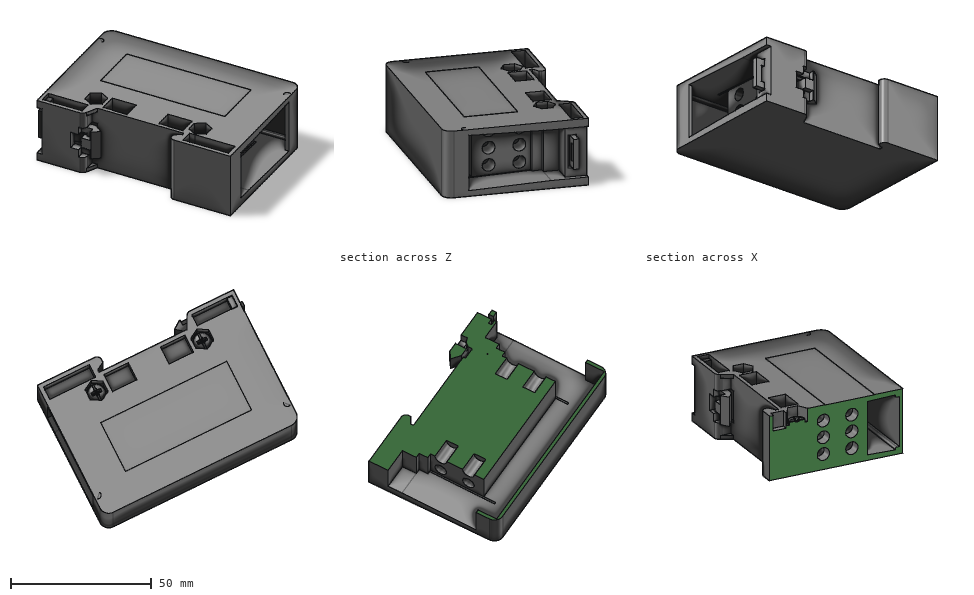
import cadquery as cq
import math


length = 78.0
height = 53.4
thickness = 25.2
mid_x = length / 2
mid_z = thickness / 2
corner_radius = 3.5
overcut = 1.0
diagonal = math.sqrt(0.5)

rail_floor_y = 5.6
left_foot_end_x = 19.3
left_foot_radius = 2.0
web_top_x = 21.4
web_low_y = 1.4
web_thickness = 1.5
hook_root_x = 56.2
hook_root_y = 4.5
hook_tip_x = 53.35
hook_tip_y = 2.9
hook_radius = 1.95

cavity_floor = 2.2
cavity_rim_floor = 3.05
taper_start_y = 13.8
opening_top_y = 44.3
block_top_y = 39.4
block_bottom_y = 17.4
inner_step_y = 8.05
block_face_x = 13.9
mid_lane_depth = 12.0
low_lane_depth = 10.0
recess_depth = 2.0
floor_groove_width = 0.7
floor_groove_depth = 0.1
frame_depth = 1.5
upper_wall_y = 52.0
ledge_width = 1.7
ledge_height = 0.8
ledge_radius = 0.7

terminal_diameter = 4.7
terminal_depth = 8.0
terminal_rows_y = (21.6, 33.0)
terminal_pitch_z = 6.5

label_size = (50.1, 19.8)
label_center = (38.85, 32.15)
label_depth = 0.1
window_size = (9.7, 6.9)
window_center_y = 10.55
window_inner_edge = 6.4
window_depth = 5.3
left_pocket_x = (1.4, 17.4)
left_pocket_y = (1.55, 6.0)
left_shelf_end_x = 3.4
left_shelf_depth = 1.5
right_pocket_x = (58.1, 76.35)
right_pocket_y = (1.55, 6.6)
pocket_depth = 6.0
dimple_offset_x = 1.3
dimple_y = 45.4
dimple_radius = 1.3
dimple_tilt = math.radians(1.2)
dimple_floor_shift = 0.35

screw_spacing = 42.0
screw_y = 11.1
hex_flats = 7.05
hex_depth = 5.1
head_radius = 3.2
dome_radius = 2.65
head_rim_height = 1.2
head_cone_height = 1.6
head_height = 2.1
dome_bulge = 0.75
slot_width = 0.7
slot_depth = 1.0
cross_length = 4.0
cross_width = 1.4
cross_arm_length = 2.4
cross_arm_width = 1.2
cross_depth = 1.4
cross_taper = 20

clip_width = 11.3
clip_slot_width = 12.4
clip_y = (3.9, 5.9)
clip_slot_top_y = 6.95
clip_slot_end_x = 4.0
tab_reach = 1.5
tab_notch_x = 0.8
driver_width = 6.4
rib_width = 4.1
mouth_x = 16.8
clip_bottom_y = 0.15
mouth_top_y = 6.5
latch_back_x = 21.3
latch_top_y = 4.85
latch_tip = (24.6, 2.25)
latch_low_x = 21.7
wing_floor_y = 2.2
driver_x = 13.6
driver_end_x = 19.0
driver_depth = 3.0
hollow_start_y = 2.6
hollow_bulge = 0.4
hollow_edge_y = 4.2
hollow_bottom_y = 4.52
rib_foot_x = 16.3
rib_side_x = 17.7


def box(x_range, y_range, z_range):
    """Axis-aligned block between the given limits."""
    size = [limits[1] - limits[0] for limits in (x_range, y_range, z_range)]
    corner = (x_range[0], y_range[0], z_range[0])
    return cq.Workplane("XY").box(*size, centered=False).translate(corner)


def centered_z(width):
    """Z limits of a feature of the given width, centred in the thickness."""
    return (mid_z - width / 2, mid_z + width / 2)


def mirror_x(shape):
    """Copy on the opposite side of the housing's middle plane across X."""
    return shape.mirror("YZ", (mid_x, 0, 0))


def mirror_z(shape):
    """Copy on the opposite side of the housing's middle plane across Z."""
    return shape.mirror("XY", (0, 0, mid_z))


def make_housing():
    foot_center_x = left_foot_end_x - left_foot_radius
    hook_center_x = hook_tip_x + hook_radius
    body = (
        cq.Workplane("XY")
        .lineTo(foot_center_x, 0)
        .threePointArc(
            (foot_center_x + left_foot_radius * diagonal, left_foot_radius * (1 - diagonal)),
            (left_foot_end_x, left_foot_radius),
        )
        .lineTo(left_foot_end_x, rail_floor_y)
        .lineTo(hook_root_x, rail_floor_y)
        .lineTo(hook_root_x, hook_root_y)
        .lineTo(hook_tip_x, hook_tip_y)
        .lineTo(hook_tip_x, hook_radius)
        .threePointArc(
            (hook_center_x - hook_radius * diagonal, hook_radius * (1 - diagonal)),
            (hook_center_x, 0),
        )
        .lineTo(length, 0)
        .lineTo(length, height)
        .lineTo(0, height)
        .close()
        .extrude(thickness)
    )
    body = body.edges("|Z and >Y").fillet(corner_radius)
    web = (
        cq.Workplane("XY")
        .moveTo(left_foot_end_x - overcut, rail_floor_y)
        .lineTo(web_top_x, rail_floor_y)
        .lineTo(left_foot_end_x, web_low_y)
        .lineTo(left_foot_end_x - overcut, web_low_y)
        .close()
        .extrude(web_thickness)
    )
    return body.union(web).union(mirror_z(web))


def lane(x_range, y_range, extra_depth=0.0):
    """Slice of the cavity: its floor and ceiling flare apart from the rail side upwards."""
    low = cavity_floor - extra_depth
    rim = cavity_rim_floor - extra_depth
    slope = (rim - low) / (opening_top_y - taper_start_y)
    top = low - slope * (upper_wall_y - opening_top_y)
    flare = (
        cq.Workplane("YZ")
        .moveTo(-overcut, rim)
        .lineTo(taper_start_y, rim)
        .lineTo(upper_wall_y, top)
        .lineTo(upper_wall_y, thickness - top)
        .lineTo(taper_start_y, thickness - rim)
        .lineTo(-overcut, thickness - rim)
        .close()
        .extrude(x_range[1] - x_range[0])
        .translate((x_range[0], 0, 0))
    )
    return flare.intersect(box(x_range, y_range, (0, thickness)))


def make_end_cavity():
    outside = -overcut
    groove_x = (block_face_x - floor_groove_width, block_face_x)
    return (
        lane((outside, block_face_x), (block_bottom_y, opening_top_y))
        .union(lane((outside, mid_lane_depth), (taper_start_y, block_bottom_y)))
        .union(lane((outside, low_lane_depth), (inner_step_y, taper_start_y)))
        .union(lane(groove_x, (block_bottom_y, opening_top_y), floor_groove_depth))
    )


def make_upper_cavity():
    """Long cavity above the opening, with a rounded ledge along its floor and ceiling."""
    x_range = (frame_depth, length - frame_depth)
    room = lane(x_range, (opening_top_y, upper_wall_y))
    ledge = box(
        x_range,
        (upper_wall_y - ledge_width, upper_wall_y),
        (0, cavity_floor + ledge_height),
    )
    ledge = ledge.edges("<Y and >Z").fillet(ledge_radius)
    return room.cut(ledge).cut(mirror_z(ledge))


def make_terminal_holes():
    centers = [(y, mid_z + row * terminal_pitch_z) for y in terminal_rows_y for row in (-1, 0, 1)]
    return (
        cq.Workplane("YZ", origin=(block_face_x, 0, 0))
        .pushPoints(centers)
        .circle(terminal_diameter / 2)
        .extrude(terminal_depth)
    )


def cut_cavities(body):
    end_cavity = make_end_cavity()
    holes = make_terminal_holes()
    for feature in (end_cavity, holes):
        body = body.cut(feature).cut(mirror_x(feature))
    through_passage = lane((0, length), (block_top_y, opening_top_y))
    end_recess = lane((-overcut, recess_depth), (-overcut, inner_step_y))
    return body.cut(through_passage).cut(make_upper_cavity()).cut(end_recess)


def top_pocket(x_range, y_range, depth):
    return box(x_range, y_range, (thickness - depth, thickness + overcut))


def make_window():
    """Left one of the two windows."""
    x_range = (mid_x - window_inner_edge - window_size[0], mid_x - window_inner_edge)
    y_range = (window_center_y - window_size[1] / 2, window_center_y + window_size[1] / 2)
    return top_pocket(x_range, y_range, window_depth)


def make_dimple():
    """Shallow tilted disc cut that only leaves a short arc in the top face."""
    slope = math.tan(dimple_tilt)
    plane = cq.Plane(
        origin=(dimple_offset_x, dimple_y, thickness + dimple_floor_shift * slope),
        normal=(slope * diagonal, slope * diagonal, 1),
    )
    return cq.Workplane(plane).circle(dimple_radius).extrude(overcut)


def cut_top_features(body):
    label = cq.Workplane("XY").box(*label_size, 2 * label_depth).translate((*label_center, thickness))
    left_pocket = top_pocket((left_shelf_end_x, left_pocket_x[1]), left_pocket_y, pocket_depth)
    shelf = top_pocket(left_pocket_x, left_pocket_y, left_shelf_depth)
    right_pocket = top_pocket(right_pocket_x, right_pocket_y, pocket_depth)
    for feature in (label, left_pocket, shelf, right_pocket):
        body = body.cut(feature)
    for feature in (make_window(), make_dimple()):
        body = body.cut(feature).cut(mirror_x(feature))
    return body


def make_screw_head():
    """Domed head with a long slot along Y and a short cross recess along X, seated at z = 0."""
    dome_rise = head_height - head_cone_height
    head = (
        cq.Workplane("XZ")
        .lineTo(head_radius, 0)
        .lineTo(head_radius, head_rim_height)
        .lineTo(dome_radius, head_cone_height)
        .threePointArc(
            (dome_radius / 2, head_cone_height + dome_bulge * dome_rise),
            (0, head_height),
        )
        .close()
        .revolve(360, (0, 0, 0), (0, 1, 0))
    )
    slot = cq.Workplane("XY").box(slot_width, 2 * head_radius, 2 * slot_depth)
    recess_top = cq.Workplane("XY", origin=(0, 0, head_height))
    long_bar = recess_top.rect(cross_length, cross_width).extrude(-cross_depth, taper=cross_taper)
    short_bar = recess_top.rect(cross_arm_width, cross_arm_length).extrude(-cross_depth, taper=cross_taper)
    return head.cut(slot.translate((0, 0, head_height))).cut(long_bar).cut(short_bar)


def add_screws(body):
    hex_corners = hex_flats / math.cos(math.pi / 6)
    hex_pocket = (
        cq.Workplane("XY").polygon(6, hex_corners).extrude(hex_depth + overcut)
        .rotate((0, 0, 0), (0, 0, 1), 30)
    )
    head = make_screw_head()
    for side in (-1, 1):
        seat = (mid_x + side * screw_spacing / 2, screw_y, thickness - hex_depth)
        body = body.cut(hex_pocket.translate(seat)).union(head.translate(seat))
    return body


def cut_clip_slot(body):
    """Slot for the release tab in the end wall and mouth for the latch in the left foot."""
    slot_z = centered_z(clip_slot_width)
    end_slot = box((0, clip_slot_end_x), (clip_y[0], clip_slot_top_y), slot_z)
    mouth = box((mouth_x, web_top_x), (-overcut, mouth_top_y), slot_z)
    return body.cut(end_slot).cut(mouth)


def make_latch():
    latch = (
        cq.Workplane("XY", origin=(0, 0, mid_z - clip_width / 2))
        .moveTo(mouth_x, latch_top_y)
        .lineTo(latch_back_x, latch_top_y)
        .lineTo(*latch_tip)
        .lineTo(latch_low_x, clip_bottom_y)
        .lineTo(mouth_x, clip_bottom_y)
        .close()
        .extrude(clip_width)
    )
    lower_wing = box(
        (mouth_x, latch_back_x),
        (0, wing_floor_y),
        (mid_z - clip_width / 2, mid_z - rib_width / 2),
    )
    return latch.cut(lower_wing).cut(mirror_z(lower_wing))


def make_driver_pocket():
    """Screwdriver pocket: plain side channels and a hollowed middle running up to the rib."""
    side = box(
        (driver_x, driver_end_x),
        (-overcut, driver_depth),
        (mid_z - driver_width / 2, mid_z - rib_width / 2),
    )
    hollow = (
        cq.Workplane("XY", origin=(0, 0, mid_z - rib_width / 2))
        .moveTo(driver_x, -overcut)
        .lineTo(driver_x, hollow_start_y)
        .threePointArc(
            ((driver_x + rib_foot_x) / 2, hollow_start_y + hollow_bulge),
            (rib_foot_x, hollow_edge_y),
        )
        .threePointArc(
            ((rib_foot_x + rib_side_x) / 2, hollow_bottom_y),
            (rib_side_x, hollow_edge_y),
        )
        .lineTo(rib_side_x, -overcut)
        .close()
        .extrude(rib_width)
    )
    return hollow.union(side).union(mirror_z(side))


def add_clip(body):
    tab = box((-tab_reach, clip_slot_end_x), clip_y, centered_z(clip_width))
    notch = box(
        (tab_notch_x, recess_depth),
        clip_y,
        centered_z(driver_width),
    )
    body = cut_clip_slot(body).union(tab.cut(notch)).union(make_latch())
    return body.cut(make_driver_pocket())


housing = cut_cavities(make_housing())
housing = cut_top_features(housing)
housing = add_screws(housing)
result = add_clip(housing)